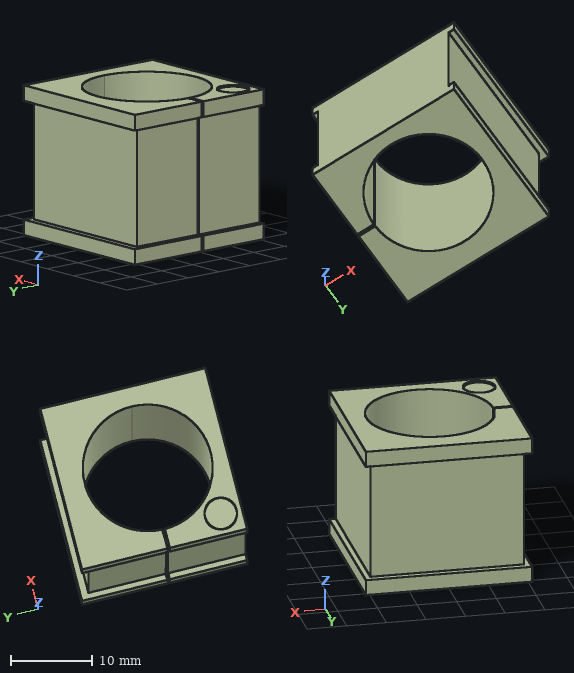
import cadquery as cq

side = 21.0
height = 19.0

flange_height = 2.0
side_groove_depth = 0.8
back_groove_depth = 1.0
waist_height = height - 2 * flange_height

bore_diameter = 16.0
bore_y = -back_groove_depth / 2

slit_width = 0.3

recess_diameter = 4.0
recess_inset = 2.69
recess_depth = 0.2


def make_flanged_block():
    """Square block with grooves on -X, +X and +Y; the -Y face stays flush."""
    flange = cq.Workplane("XY").box(side, side, flange_height, centered=(True, True, False))
    waist = (
        cq.Workplane("XY", origin=(0, -back_groove_depth / 2, flange_height))
        .box(
            side - 2 * side_groove_depth,
            side - back_groove_depth,
            waist_height,
            centered=(True, True, False),
        )
    )
    top_flange = flange.translate((0, 0, height - flange_height))
    return flange.union(waist).union(top_flange)


def make_bore():
    return cq.Workplane("XY", origin=(0, bore_y, 0)).circle(bore_diameter / 2).extrude(height)


def make_slit():
    """Thin cut from the -X face to the bore axis."""
    return (
        cq.Workplane("XY", origin=(-side / 4, bore_y, 0))
        .rect(side / 2, slit_width)
        .extrude(height)
    )


def make_recess():
    corner_offset = -side / 2 + recess_inset
    return (
        cq.Workplane("XY", origin=(corner_offset, corner_offset, height - recess_depth))
        .circle(recess_diameter / 2)
        .extrude(recess_depth)
    )


result = make_flanged_block().cut(make_bore()).cut(make_slit()).cut(make_recess())